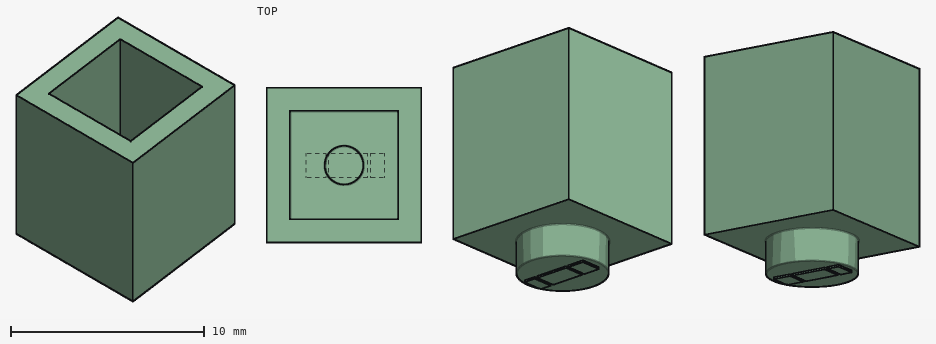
import cadquery as cq

body_side = 8.0
total_height = 11.5
body_height = 9.6
stud_diameter = 4.8
wall = 1.2
hole_diameter = 2.0
edge_radius = 0.05
pad_height = 0.1
pad_width = 1.24
pad_spans = [(-1.97, -0.94), (-0.8, 1.2), (1.37, 2.07)]

stud_bottom = pad_height
body_bottom = total_height - body_height
stud_height = body_bottom - stud_bottom
cavity_floor = body_bottom + wall
cavity_side = body_side - 2 * wall
cavity_depth = total_height - cavity_floor
hole_depth = stud_height


def square_block(side, bottom, height):
    """Square prism centred on the Z axis."""
    return cq.Workplane("XY").workplane(offset=bottom).rect(side, side).extrude(height)


def cylinder(diameter, bottom, height):
    """Round prism centred on the Z axis."""
    return cq.Workplane("XY").workplane(offset=bottom).circle(diameter / 2).extrude(height)


def make_body():
    """Square body with a round stud below, blended at its root and free edge."""
    body = square_block(body_side, body_bottom, body_height)
    stud = cylinder(stud_diameter, stud_bottom, stud_height)
    return body.union(stud).edges("%CIRCLE").fillet(edge_radius)


def make_hollow():
    """Square cavity with a rounded floor edge, and a blind hole rounded at rim and floor."""
    cavity = square_block(cavity_side, cavity_floor, cavity_depth)
    cavity = cavity.faces("<Z").edges().fillet(edge_radius)
    hole = cylinder(hole_diameter, cavity_floor - hole_depth, hole_depth)
    return cavity.union(hole).faces("%CYLINDER").faces("<Z").edges("%CIRCLE").fillet(edge_radius)


def make_pad(left, right):
    """Thin raised pad on the underside of the stud."""
    height = pad_height + edge_radius
    pad = cq.Workplane("XY").box(right - left, pad_width, height, centered=(False, True, False))
    return pad.translate((left, 0, 0))


result = make_body().cut(make_hollow())
for left, right in pad_spans:
    result = result.union(make_pad(left, right))